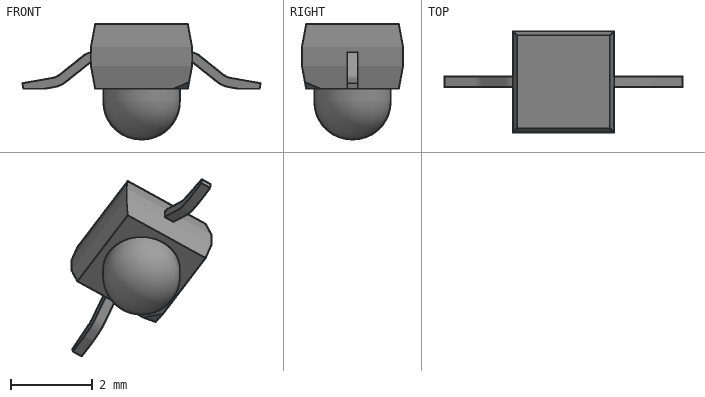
import cadquery as cq
import math

span = 5.88
total_height = 2.85

body_width = 2.5
body_height = 1.6
taper_height = 0.565
taper_inset = 0.105
band_height = body_height - 2 * taper_height

corner_run = 0.36
corner_rise = 0.165

lens_diameter = 1.9

lead_width = 0.265
lead_thickness = 0.235
lead_top = 0.905
lead_embed = 0.35
tip_height = 0.14
knee_x = 2.095
foot_angle = math.radians(10)
ramp_angle = math.radians(38.5)
shoulder_inner_radius = 0.135
knee_inner_radius = 0.375


def make_body():
    end_width = body_width - 2 * taper_inset
    lower = (
        cq.Workplane("XY").rect(end_width, end_width)
        .workplane(offset=taper_height).rect(body_width, body_width).loft(ruled=True)
    )
    upper = lower.mirror("XY").translate((0, 0, body_height))
    band = (
        cq.Workplane("XY").workplane(offset=taper_height)
        .rect(body_width, body_width).extrude(band_height)
    )
    return lower.union(band).union(upper)


def make_corner_cutter():
    """Tetrahedron whose base face lies along the bottom of the body corner."""
    half = body_width / 2 - taper_inset
    lean = corner_rise * taper_inset / taper_height
    corner = cq.Vector(half, -half, 0)
    along_x = cq.Vector(half - corner_run, -half, 0)
    along_y = cq.Vector(half, -half + corner_run, 0)
    up_edge = cq.Vector(half + lean, -half - lean, corner_rise)
    triangles = [
        (corner, along_x, along_y),
        (corner, up_edge, along_x),
        (corner, along_y, up_edge),
        (along_x, up_edge, along_y),
    ]
    faces = [cq.Face.makeFromWires(cq.Wire.makePolygon(list(t), close=True)) for t in triangles]
    return cq.Workplane(cq.Solid.makeSolid(cq.Shell.makeShell(faces)))


def make_lens():
    """Short cylinder ending in a hemisphere."""
    radius = lens_diameter / 2
    dome_z = body_height - total_height + radius
    return (
        cq.Workplane("XZ").lineTo(radius, 0).lineTo(radius, dome_z)
        .radiusArc((0, dome_z - radius), radius).close()
        .revolve(360, (0, 0, 0), (0, 1, 0))
    )


def make_lead():
    """Lead on the +X side: level, down a ramp, then a gently falling foot with a flat sole."""
    start_x = body_width / 2 - lead_embed
    tip_x = span / 2
    knee_z = tip_height + (tip_x - knee_x) * math.tan(foot_angle)
    shoulder_x = knee_x - (lead_top - knee_z) / math.tan(ramp_angle)

    shoulder_shift = lead_thickness * math.tan(ramp_angle / 2)
    knee_bisector = (ramp_angle + foot_angle) / 2
    knee_depth = lead_thickness / math.cos((ramp_angle - foot_angle) / 2)
    under_shoulder = (shoulder_x - shoulder_shift, lead_top - lead_thickness)
    under_knee = (
        knee_x - knee_depth * math.sin(knee_bisector),
        knee_z - knee_depth * math.cos(knee_bisector),
    )
    sole_x = under_knee[0] + under_knee[1] / math.tan(foot_angle)
    sole_end_x = tip_x - tip_height * math.tan(foot_angle)

    lead = (
        cq.Workplane("XZ")
        .polyline([
            (start_x, lead_top),
            (shoulder_x, lead_top),
            (knee_x, knee_z),
            (tip_x, tip_height),
            (sole_end_x, 0),
            (sole_x, 0),
            under_knee,
            under_shoulder,
            (start_x, lead_top - lead_thickness),
        ])
        .close().extrude(lead_width / 2, both=True)
    )

    def round_bend(solid, top, bottom, top_radius, bottom_radius):
        for (x, z), radius in ((top, top_radius), (bottom, bottom_radius)):
            edge = cq.selectors.NearestToPointSelector((x, 0, z))
            solid = solid.edges("|Y").edges(edge).fillet(radius)
        return solid

    lead = round_bend(
        lead, (shoulder_x, lead_top), under_shoulder,
        shoulder_inner_radius + lead_thickness, shoulder_inner_radius,
    )
    return round_bend(
        lead, (knee_x, knee_z), under_knee,
        knee_inner_radius, knee_inner_radius + lead_thickness,
    )


body = make_body().cut(make_corner_cutter())
right_lead = make_lead()
left_lead = right_lead.mirror("YZ")
result = body.union(make_lens()).union(right_lead).union(left_lead)